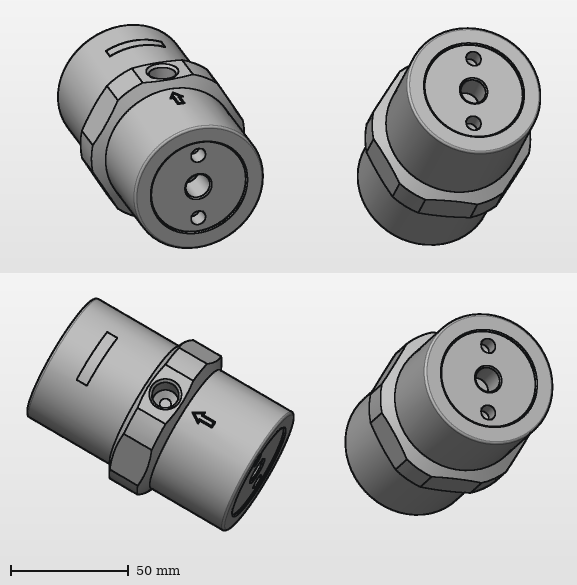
import cadquery as cq
import math

body_length = 98.0
body_diameter = 58.2
end_round = 1.0

collar_start = -7.5
collar_end = 12.4
across_flats = 65.0
collar_diameter = 68.8
bevel_angle = 30.0

recess_diameter = 42.5
recess_bevel = 0.6
recess_depth = 0.9

end_port_diameter = 10.8
end_port_bevel = 0.7
end_port_depth = 14.7

pin_hole_diameter = 6.5
pin_hole_depth = 7.8
pin_hole_offset = 15.0
drill_point_angle = 118.0

gauge_diameter = 11.4
gauge_bevel = 1.2
gauge_depth = 11.8
gauge_bottom_diameter = 4.8

engraving_depth = 0.2
arrow_tip = 15.8
arrow_head_base = 20.5
arrow_tail = 26.5
arrow_head_half_width = 2.9
arrow_shaft_half_width = 1.5
arrow_line_width = 0.6
frame_centre = -31.6
frame_length = 5.1
frame_width = 24.9

body_radius = body_diameter / 2
collar_radius = collar_diameter / 2
flat_height = across_flats / 2
collar_centre = (collar_start + collar_end) / 2
end_face = body_length / 2


def cone_depth(radial_step, point_angle):
    """Axial length of a cone that narrows by radial_step."""
    return radial_step / math.tan(math.radians(point_angle / 2))


def make_barrel():
    barrel = cq.Workplane("YZ", origin=(-end_face, 0, 0)).circle(body_radius).extrude(body_length)
    return barrel.faces("<X or >X").edges().fillet(end_round)


def make_collar():
    bevel_run = (collar_radius - body_radius) * math.tan(math.radians(bevel_angle))
    turned = (
        cq.Workplane("XY")
        .moveTo(collar_start, 0)
        .lineTo(collar_start, body_radius)
        .lineTo(collar_start + bevel_run, collar_radius)
        .lineTo(collar_end - bevel_run, collar_radius)
        .lineTo(collar_end, body_radius)
        .lineTo(collar_end, 0)
        .close()
        .revolve(360, (0, 0, 0), (1, 0, 0))
    )
    hexagon = (
        cq.Workplane("YZ", origin=(collar_start, 0, 0))
        .polygon(6, across_flats, circumscribed=True)
        .extrude(collar_end - collar_start)
        .rotate((0, 0, 0), (1, 0, 0), 30)
    )
    return turned.intersect(hexagon)


def make_hole(diameter, depth, bevel=0.0, bottom_diameter=None):
    """Hole running down from the origin along -Z, with an optional bevel and a conical bottom."""
    radius = diameter / 2
    hole = cq.Workplane("XZ").moveTo(0, 0).lineTo(radius + bevel, 0)
    if bevel:
        hole = hole.lineTo(radius, -bevel)
    hole = hole.lineTo(radius, -depth)
    if bottom_diameter is None:
        hole = hole.lineTo(0, -depth)
    else:
        bottom_radius = bottom_diameter / 2
        tip = depth + cone_depth(radius - bottom_radius, drill_point_angle)
        hole = hole.lineTo(bottom_radius, -tip)
        if bottom_radius:
            hole = hole.lineTo(0, -tip)
    return hole.close().revolve(360, (0, 0, 0), (0, 1, 0))


def make_end_cut():
    """Everything cut into the -X end face."""
    cut = make_hole(recess_diameter, recess_depth, recess_bevel)
    floor_holes = make_hole(end_port_diameter, end_port_depth, end_port_bevel)
    for side in (-1, 1):
        pin_hole = make_hole(pin_hole_diameter, pin_hole_depth, bottom_diameter=0)
        floor_holes = floor_holes.union(pin_hole.translate((side * pin_hole_offset, 0, 0)))
    cut = cut.union(floor_holes.translate((0, 0, -recess_depth)))
    return cut.rotate((0, 0, 0), (0, 1, 0), -90).translate((-end_face, 0, 0))


def make_gauge_port():
    port = make_hole(gauge_diameter, gauge_depth, gauge_bevel, gauge_bottom_diameter)
    return port.translate((collar_centre, 0, flat_height))


def engrave(outline):
    """Project a closed profile upward and keep only the thin skin of the barrel inside it."""
    skin = (
        cq.Workplane("YZ", origin=(-end_face, 0, 0))
        .circle(body_radius)
        .circle(body_radius - engraving_depth)
        .extrude(body_length)
    )
    return skin.intersect(outline.extrude(body_radius))


def arrow_profile():
    """Closed profile of the flow arrow, pointing toward the collar."""
    half_points = [
        (arrow_head_base, arrow_head_half_width),
        (arrow_head_base, arrow_shaft_half_width),
        (arrow_tail, arrow_shaft_half_width),
    ]
    other_half = [(x, -y) for x, y in reversed(half_points)]
    return cq.Workplane("XY").polyline([(arrow_tip, 0)] + half_points + other_half).close()


def make_arrow():
    """Line of constant width running round the inside of the arrow profile."""
    arrow_core = arrow_profile().offset2D(-arrow_line_width, "intersection")
    return engrave(arrow_profile()).cut(engrave(arrow_core))


def make_label_frame():
    return engrave(cq.Workplane("XY").center(frame_centre, 0).rect(frame_length, frame_width))


end_cut = make_end_cut()
result = make_barrel().union(make_collar())
result = result.cut(end_cut).cut(end_cut.mirror("YZ")).cut(make_gauge_port())
result = result.cut(make_arrow()).cut(make_label_frame())